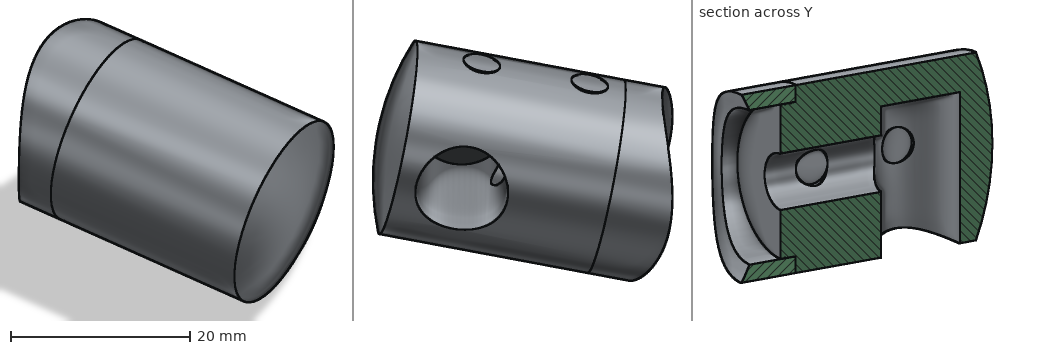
import cadquery as cq
import math

outer_radius = 11.0
overall_length = 33.18

rail_radius = 21.2
saddle_length = 7.23
spigot_radius = 9.0
spigot_length = 2.1

barrel_length = 23.75
bolt_radius = 3.268

socket_radius = 5.18
socket_setback = 9.52
socket_top = 6.65

screw_radius = 2.1
screw_spacing = 12.3

tip_x = math.sqrt(rail_radius**2 - outer_radius**2)
joint_x = tip_x + saddle_length
spigot_x = joint_x - spigot_length
dome_start_x = joint_x + barrel_length
end_x = tip_x + overall_length
dome_height = end_x - dome_start_x
dome_radius = (outer_radius**2 + dome_height**2) / (2 * dome_height)
dome_half_angle = math.asin(outer_radius / dome_radius) / 2
dome_middle = (
    end_x - dome_radius * (1 - math.cos(dome_half_angle)),
    dome_radius * math.sin(dome_half_angle),
)
socket_x = end_x - socket_setback

screws = [
    (socket_x - screw_spacing, bolt_radius),
    (socket_x, socket_radius),
]


def rod_x(radius, start, end):
    """Cylinder on the X axis."""
    return cq.Workplane("YZ", origin=(start, 0, 0)).circle(radius).extrude(end - start)


def rod_y(radius, x, start, end):
    """Cylinder parallel to Y, centred on z = 0."""
    return cq.Workplane("XZ", origin=(x, start, 0)).circle(radius).extrude(start - end)


def make_saddle():
    """Collar with one end hollowed to fit the rail and a bore for the holder's spigot."""
    blank = rod_x(outer_radius, tip_x, joint_x)
    rail = rod_y(rail_radius, 0, -outer_radius, outer_radius)
    bore = rod_x(spigot_radius, tip_x, joint_x)
    return blank.cut(rail).cut(bore)


def make_holder():
    """Domed barrel with a spigot, a bolt hole, a bar socket and two screw holes."""
    blank = (
        cq.Workplane("XY")
        .moveTo(spigot_x, 0)
        .lineTo(spigot_x, spigot_radius)
        .lineTo(joint_x, spigot_radius)
        .lineTo(joint_x, outer_radius)
        .lineTo(dome_start_x, outer_radius)
        .threePointArc(dome_middle, (end_x, 0))
        .close()
        .revolve(360, (0, 0, 0), (1, 0, 0))
    )
    bolt_hole = rod_x(bolt_radius, spigot_x, socket_x)
    socket_depth = outer_radius + socket_top
    socket = (
        cq.Workplane("XY", origin=(socket_x, 0, -outer_radius))
        .circle(socket_radius)
        .extrude(socket_depth)
    )
    holder = blank.cut(bolt_hole).cut(socket)
    for x, _ in screws:
        holder = holder.cut(rod_y(screw_radius, x, 0, outer_radius))
    return holder


def make_set_screw(x, inner_end):
    """Plain screw whose flat outer end is level with the barrel's widest line."""
    return rod_y(screw_radius, x, inner_end, outer_radius)


saddle = make_saddle()
holder = make_holder()
set_screws = [make_set_screw(x, inner_end) for x, inner_end in screws]

result = cq.Compound.makeCompound(
    [saddle.val(), holder.val(), *[screw.val() for screw in set_screws]]
)